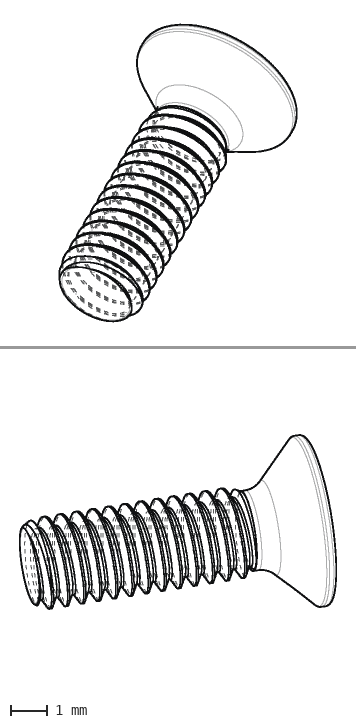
import cadquery as cq
import math

LENGTH = 8.0
HEAD_RADIUS = 2.35
HEAD_RIM_HEIGHT = 0.26
HEAD_EDGE_ROUND = 0.1
CONE_HALF_ANGLE = 45.0
NECK_RADIUS = 1.1
NECK_ROUND = 0.68
NECK_END = 1.92
SHANK_LENGTH = LENGTH - NECK_END

THREAD_RADIUS = 1.25
PITCH = 0.45
FLANK_HALF_ANGLE = 30.0
SHARP_HEIGHT = PITCH / (2 * math.tan(math.radians(FLANK_HALF_ANGLE)))
THREAD_DEPTH = SHARP_HEIGHT * 17 / 24
CREST_WIDTH = PITCH / 8
ROOT_PHASE = 0.092
END_CHAMFER_RADIUS = 1.08
END_CHAMFER_ANGLE = 30.0
TIP_DISH_RADIUS = 1.02
TIP_DISH_DEPTH = 0.053
CUTTER_OVERLAP = 0.03
CHAMFER_OVERLAP = 0.1
EXTRA_TURNS = 2


def make_head():
    """Countersunk head and plain neck, revolved about local Z with the tip end at Z = 0."""
    neck_z = SHANK_LENGTH
    rim_z = LENGTH - HEAD_RIM_HEIGHT
    cone_drop = (HEAD_RADIUS - NECK_RADIUS) / math.tan(math.radians(CONE_HALF_ANGLE))
    sharp_neck_z = rim_z - cone_drop

    full_angle = math.radians(CONE_HALF_ANGLE)
    half_angle = full_angle / 2
    neck_tangent_z = sharp_neck_z - NECK_ROUND * math.tan(half_angle)

    def on_round(angle):
        return (
            NECK_RADIUS + NECK_ROUND * (1 - math.cos(angle)),
            neck_tangent_z + NECK_ROUND * math.sin(angle),
        )

    head = (
        cq.Workplane("XZ")
        .moveTo(0, neck_z)
        .lineTo(NECK_RADIUS, neck_z)
        .lineTo(NECK_RADIUS, neck_tangent_z)
        .threePointArc(on_round(half_angle), on_round(full_angle))
        .lineTo(HEAD_RADIUS, rim_z)
        .lineTo(HEAD_RADIUS, LENGTH)
        .lineTo(0, LENGTH)
        .close()
        .revolve(360, (0, 0, 0), (0, 1, 0))
    )
    rim_face = head.faces("%CYLINDER").faces(">Z")
    return head.newObject(rim_face.edges("%CIRCLE").vals()).fillet(HEAD_EDGE_ROUND)


def make_groove():
    """Right-hand helical groove cutter running past both ends of the shank, bounded by ruled faces."""
    flank_slope = math.tan(math.radians(FLANK_HALF_ANGLE))
    root_radius = THREAD_RADIUS - THREAD_DEPTH
    outer_radius = THREAD_RADIUS + CUTTER_OVERLAP
    outer_half_width = (PITCH - CREST_WIDTH) / 2 + CUTTER_OVERLAP * flank_slope
    root_half_width = outer_half_width - (outer_radius - root_radius) * flank_slope

    start_z = ROOT_PHASE - EXTRA_TURNS * PITCH
    turns = math.ceil(SHANK_LENGTH / PITCH) + 2 * EXTRA_TURNS
    section = [
        (root_radius, -root_half_width),
        (outer_radius, -outer_half_width),
        (outer_radius, outer_half_width),
        (root_radius, root_half_width),
    ]
    helices = []
    for radius, offset in section:
        helix = cq.Wire.makeHelix(PITCH, turns * PITCH, radius)
        helices.append(helix.translate(cq.Vector(0, 0, start_z + offset)))

    faces = []
    for index, helix in enumerate(helices):
        next_helix = helices[(index + 1) % len(helices)]
        faces.append(cq.Face.makeRuledSurface(helix, next_helix))
    for corners in (
        [helix.startPoint() for helix in helices],
        [helix.endPoint() for helix in helices],
    ):
        faces.append(cq.Face.makeFromWires(cq.Wire.makePolygon(corners, close=True)))
    return cq.Solid.makeSolid(cq.Shell.makeShell(faces))


def make_end_chamfer(end_z, inward):
    """Ring that bevels the shank end at end_z; inward is +1 or -1 along Z, into the shank."""
    slope = math.tan(math.radians(END_CHAMFER_ANGLE))
    ring_radius = THREAD_RADIUS + CHAMFER_OVERLAP
    outside_z = end_z - inward * CHAMFER_OVERLAP
    inside_z = end_z + inward * (ring_radius - END_CHAMFER_RADIUS) / slope
    return (
        cq.Workplane("XZ")
        .moveTo(END_CHAMFER_RADIUS - CHAMFER_OVERLAP * slope, outside_z)
        .lineTo(ring_radius, inside_z)
        .lineTo(ring_radius, outside_z)
        .close()
        .revolve(360, (0, 0, 0), (0, 1, 0))
    )


def make_tip_dish():
    """Shallow cone, widest at the tip face and pointing into the shank."""
    return (
        cq.Workplane("XZ")
        .lineTo(TIP_DISH_RADIUS, 0)
        .lineTo(0, TIP_DISH_DEPTH)
        .close()
        .revolve(360, (0, 0, 0), (0, 1, 0))
    )


def make_shank():
    """Threaded shank along local Z from the tip, beveled at both ends and dished at the tip."""
    return (
        cq.Workplane("XY")
        .circle(THREAD_RADIUS)
        .extrude(SHANK_LENGTH)
        .cut(cq.Workplane(make_groove()))
        .cut(make_end_chamfer(0, 1))
        .cut(make_end_chamfer(SHANK_LENGTH, -1))
        .cut(make_tip_dish())
    )


def make_screw():
    screw = make_shank().union(make_head())
    return screw.rotate((0, 0, 0), (1, 0, 0), -90).translate((0, -LENGTH, 0))


result = make_screw()